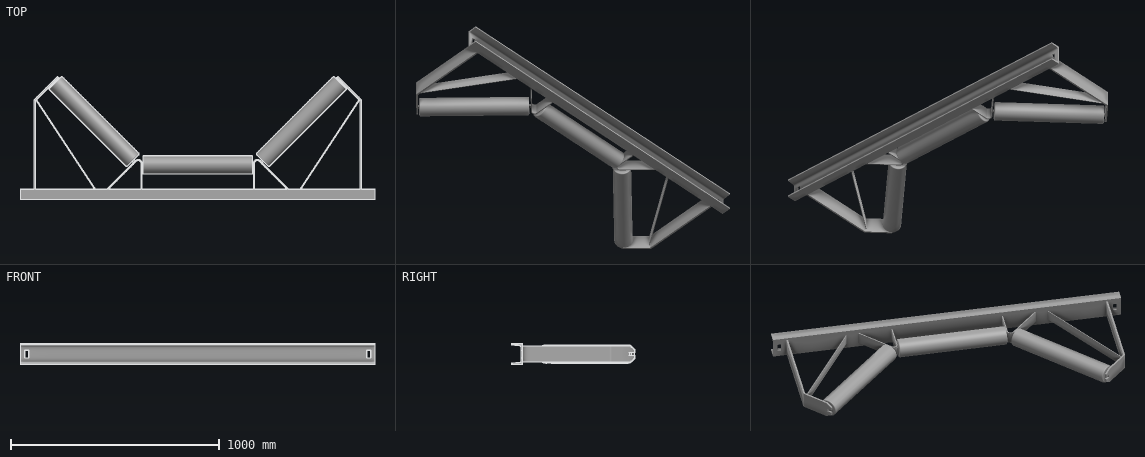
import cadquery as cq
import math


beam_length = 1700.0
beam_height = 100.0
beam_depth = 51.0
beam_web = 7.0
flange_tip = 7.0
flange_root = 10.0
root_radius = 7.0
mount_slot_width = 17.0
mount_slot_height = 35.0
mount_slot_inset = 30.0

roller_radius = 45.0
roller_length = 527.0
roller_end_round = 5.0
shaft_size = 14.0
center_roller_y = 115.0
wing_center_x = 496.0
wing_center_y = 323.0
wing_angle = 45.0

outer_width = 78.0
outer_plate = 8.0
outer_gap = 5.0
outer_bend_radius = 5.0
outer_leg_x = 785.0
outer_tip = 29.0
tip_chamfer_along = 29.0
tip_chamfer_across = 17.0

inner_width = 58.0
inner_plate = 5.0
inner_wing_gap = 8.0
inner_center_gap = 3.0
inner_bend_radius = 14.0

brace_thickness = 3.0
brace_width = 50.0
brace_foot_x = 495.0
brace_top_y = 428.0

roller_half = roller_length / 2
outer_near = roller_half + outer_gap
outer_far = outer_near + outer_plate
inner_near = -roller_half - inner_wing_gap
inner_far = inner_near - inner_plate
outer_leg_inner_x = outer_leg_x - outer_plate
inner_leg_x = roller_half + inner_center_gap
inner_leg_far_x = inner_leg_x + inner_plate


def wing_point(along, across):
    """X-Y point of the wing roller's frame: along its axis outward, across it to the upper side."""
    cosine = math.cos(math.radians(wing_angle))
    sine = math.sin(math.radians(wing_angle))
    return (
        wing_center_x + along * cosine - across * sine,
        wing_center_y + along * sine + across * cosine,
    )


def cross_line_y(along, x):
    """Y at the given X on the line square to the wing axis."""
    foot_x, foot_y = wing_point(along, 0)
    return foot_y - (x - foot_x) / math.tan(math.radians(wing_angle))


def cross_line_foot_x(along):
    """X where the line square to the wing axis meets the beam."""
    foot_x, foot_y = wing_point(along, 0)
    return foot_x + foot_y * math.tan(math.radians(wing_angle))


def in_wing_frame(body):
    """Turn a body built along X at the origin onto the wing roller's axis."""
    return body.rotate((0, 0, 0), (0, 0, 1), wing_angle).translate((wing_center_x, wing_center_y, 0))


def flat_bar(outline, width):
    """Closed X-Y outline extruded to a width centred on Z = 0."""
    return cq.Workplane("XY", origin=(0, 0, -width / 2)).polyline(outline).close().extrude(width)


def round_bend(plate, corner, radius):
    """Round the Z edge of a plate that lies at the given X-Y corner."""
    return plate.edges("|Z").edges(cq.NearestToPointSelector((*corner, 0))).fillet(radius)


def make_beam():
    half = beam_height / 2
    root_z = half - flange_root
    tip_z = half - flange_tip
    outline = [
        (0, -half), (0, half), (-beam_depth, half), (-beam_depth, tip_z), (-beam_web, root_z),
        (-beam_web, -root_z), (-beam_depth, -tip_z), (-beam_depth, -half),
    ]
    beam = cq.Workplane("YZ", origin=(-beam_length / 2, 0, 0)).polyline(outline).close().extrude(beam_length)
    for z in (-root_z, root_z):
        beam = beam.edges("|X").edges(cq.NearestToPointSelector((0, -beam_web, z))).fillet(root_radius)
    slot_x = beam_length / 2 - mount_slot_inset
    slots = (
        cq.Workplane("XZ").pushPoints([(-slot_x, 0), (slot_x, 0)])
        .rect(mount_slot_width, mount_slot_height).extrude(beam_web)
    )
    return beam.cut(slots)


def make_roller(left_end, right_end):
    """Roller along X at the origin with its square shaft running from -left_end to right_end."""
    shell = (
        cq.Workplane("YZ", origin=(-roller_half, 0, 0)).circle(roller_radius).extrude(roller_length)
        .faces("<X or >X").edges().fillet(roller_end_round)
    )
    shaft = (
        cq.Workplane("YZ", origin=(-left_end, 0, 0))
        .rect(shaft_size, shaft_size).extrude(left_end + right_end)
    )
    return shell.union(shaft)


def make_outer_bracket():
    outer_corner = (outer_leg_x, cross_line_y(outer_far, outer_leg_x))
    inner_corner = (outer_leg_inner_x, cross_line_y(outer_near, outer_leg_inner_x))
    plate = flat_bar(
        [
            (outer_leg_x, 0), outer_corner, wing_point(outer_far, outer_tip),
            wing_point(outer_near, outer_tip), inner_corner, (outer_leg_inner_x, 0),
        ],
        outer_width,
    )
    plate = round_bend(plate, inner_corner, outer_bend_radius)
    plate = round_bend(plate, outer_corner, outer_bend_radius + outer_plate)

    half = outer_width / 2
    for side in (-1, 1):
        corner = [
            (outer_tip, side * half),
            (outer_tip - tip_chamfer_along, side * half),
            (outer_tip, side * (half - tip_chamfer_across)),
        ]
        cutter = (
            cq.Workplane("YZ", origin=(outer_near, 0, 0)).polyline(corner).close().extrude(outer_plate)
        )
        plate = plate.cut(in_wing_frame(cutter))

    slot_length = outer_tip + shaft_size / 2
    slot = cq.Workplane("XY").box(outer_plate, slot_length, shaft_size).translate(
        (outer_near + outer_plate / 2, outer_tip - slot_length / 2, 0)
    )
    return plate.cut(in_wing_frame(slot))


def make_inner_bracket(wing_roller, center_roller):
    outer_corner = (inner_leg_x, cross_line_y(inner_near, inner_leg_x))
    inner_corner = (inner_leg_far_x, cross_line_y(inner_far, inner_leg_far_x))
    plate = flat_bar(
        [
            (inner_leg_x, 0), outer_corner, (cross_line_foot_x(inner_near), 0),
            (cross_line_foot_x(inner_far), 0), inner_corner, (inner_leg_far_x, 0),
        ],
        inner_width,
    )
    plate = round_bend(plate, inner_corner, inner_bend_radius)
    plate = round_bend(plate, outer_corner, inner_bend_radius + inner_plate)
    return plate.cut(wing_roller).cut(center_roller)


def make_brace(outer_bracket):
    run = outer_leg_inner_x - brace_foot_x
    length = math.hypot(run, brace_top_y)
    foot_width = brace_thickness * length / brace_top_y
    square_end = (
        outer_leg_inner_x - brace_thickness * brace_top_y / length,
        brace_top_y + brace_thickness * run / length,
    )
    bar = flat_bar(
        [
            (brace_foot_x, 0), (outer_leg_inner_x, brace_top_y),
            square_end, (brace_foot_x - foot_width, 0),
        ],
        brace_width,
    )
    return bar.cut(outer_bracket)


beam = make_beam()
center_roller = make_roller(inner_leg_far_x, inner_leg_far_x).translate((0, center_roller_y, 0))
wing_roller = in_wing_frame(make_roller(-inner_far, outer_far))
outer_bracket = make_outer_bracket()
inner_bracket = make_inner_bracket(wing_roller, center_roller)
brace = make_brace(outer_bracket)

bodies = [*beam.solids().vals(), *center_roller.solids().vals()]
for side_body in (wing_roller, outer_bracket, inner_bracket, brace):
    bodies.extend(side_body.solids().vals())
    bodies.extend(side_body.mirror("YZ").solids().vals())

result = cq.Compound.makeCompound(bodies)